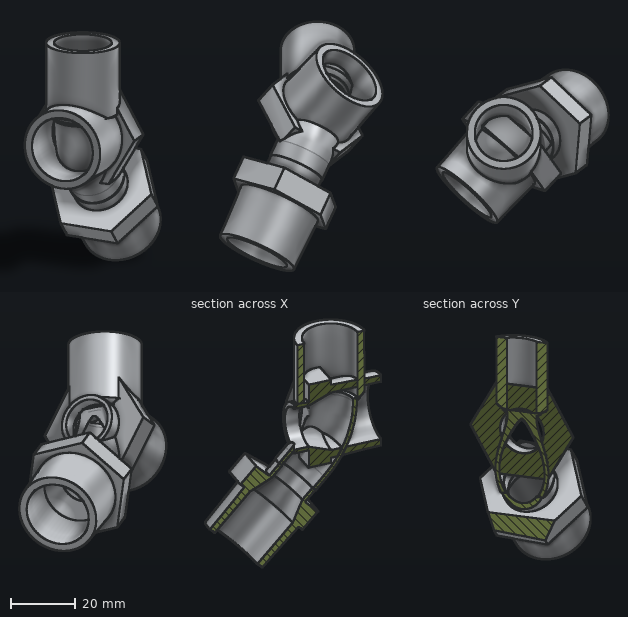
import cadquery as cq
import math

PIPE_OD = 23.0
PIPE_BORE = 18.0
PIPE_TOP = 30.05
PIPE_BOTTOM = 6.5
PIPE_CHAMFER_HEIGHT = 1.5

ELBOW_OD = 18.0
ELBOW_BORE = 15.0
COLLAR_OD = 20.0
COLLAR_RIM = 0.2
BEND_START_Z = 5.3
BEND_RADIUS = 27.0
BEND_ANGLE = math.radians(45)
ARM_LENGTH = 5.0

STUB_OD = 17.5
STUB_BORE = 14.5
STUB_LENGTH = 4.9
HEX_ACROSS_CORNERS = 34.6
HEX_THICKNESS = 7.65
THREAD_LENGTH = 17.1
THREAD_MOUTH_OD = 25.4
THREAD_ROOT_OD = 26.4
MOUTH_BORE = 20.5
CONNECTOR_LENGTH = STUB_LENGTH + HEX_THICKNESS + THREAD_LENGTH

SIDE_STUB_END_Y = 12.45
ARM_CONNECTOR_ROLL = math.radians(-2.8)

BEND_END_Y = BEND_RADIUS * (1 - math.cos(BEND_ANGLE))
BEND_END_Z = BEND_START_Z - BEND_RADIUS * math.sin(BEND_ANGLE)
ARM_END_Y = BEND_END_Y + ARM_LENGTH * math.sin(BEND_ANGLE)
ARM_END_Z = BEND_END_Z - ARM_LENGTH * math.cos(BEND_ANGLE)


def make_pipe():
    """Tube with a chamfered outer edge at its lower end."""
    half_section = [
        (PIPE_BORE / 2, PIPE_BOTTOM),
        (COLLAR_OD / 2, PIPE_BOTTOM),
        (PIPE_OD / 2, PIPE_BOTTOM + PIPE_CHAMFER_HEIGHT),
        (PIPE_OD / 2, PIPE_TOP),
        (PIPE_BORE / 2, PIPE_TOP),
    ]
    return cq.Workplane("XZ").polyline(half_section).close().revolve(360, (0, 0), (0, 1))


def make_elbow():
    """Bent tube with a conical collar that meets the pipe."""
    half_angle = BEND_ANGLE / 2
    bend_middle = (
        BEND_RADIUS * (1 - math.cos(half_angle)),
        BEND_START_Z - BEND_RADIUS * math.sin(half_angle),
    )
    path = (
        cq.Workplane("YZ")
        .moveTo(0, BEND_START_Z)
        .threePointArc(bend_middle, (BEND_END_Y, BEND_END_Z))
        .lineTo(ARM_END_Y, ARM_END_Z)
    )
    tube = (
        cq.Workplane("XY", origin=(0, 0, BEND_START_Z))
        .circle(ELBOW_OD / 2)
        .circle(ELBOW_BORE / 2)
        .sweep(path)
    )
    collar_section = [
        (ELBOW_BORE / 2, BEND_START_Z),
        (ELBOW_OD / 2, BEND_START_Z),
        (COLLAR_OD / 2, PIPE_BOTTOM - COLLAR_RIM),
        (COLLAR_OD / 2, PIPE_BOTTOM),
        (ELBOW_BORE / 2, PIPE_BOTTOM),
    ]
    collar = cq.Workplane("XZ").polyline(collar_section).close().revolve(360, (0, 0), (0, 1))
    return tube.union(collar)


def make_stub_envelope(plane):
    """Outside of a connector's stub, with its bore filled."""
    return cq.Workplane(plane).circle(STUB_OD / 2).extrude(STUB_LENGTH)


def make_connector(plane):
    """Stub, hexagon and tapered thread body along the plane's normal."""
    hex_end = STUB_LENGTH + HEX_THICKNESS
    stub = make_stub_envelope(plane)
    hexagon = (
        cq.Workplane(plane)
        .workplane(offset=STUB_LENGTH)
        .polygon(6, HEX_ACROSS_CORNERS)
        .extrude(HEX_THICKNESS)
    )
    thread_body = (
        cq.Workplane(plane)
        .workplane(offset=hex_end)
        .circle(THREAD_ROOT_OD / 2)
        .workplane(offset=THREAD_LENGTH)
        .circle(THREAD_MOUTH_OD / 2)
        .loft(ruled=True)
    )
    bore_section = [
        (0, 0),
        (STUB_BORE / 2, 0),
        (STUB_BORE / 2, STUB_LENGTH),
        (MOUTH_BORE / 2, hex_end),
        (MOUTH_BORE / 2, CONNECTOR_LENGTH),
        (0, CONNECTOR_LENGTH),
    ]
    section_plane = cq.Plane(origin=plane.origin, xDir=plane.xDir, normal=-plane.yDir)
    bore = cq.Workplane(section_plane).polyline(bore_section).close().revolve(360, (0, 0), (0, 1))
    return stub.union(hexagon).union(thread_body).cut(bore)


side_plane = cq.Plane(origin=(0, SIDE_STUB_END_Y, 0), xDir=(1, 0, 0), normal=(0, -1, 0))
arm_plane = cq.Plane(
    origin=(0, ARM_END_Y, ARM_END_Z),
    xDir=(
        math.cos(ARM_CONNECTOR_ROLL),
        math.sin(ARM_CONNECTOR_ROLL) * math.cos(BEND_ANGLE),
        math.sin(ARM_CONNECTOR_ROLL) * math.sin(BEND_ANGLE),
    ),
    normal=(0, math.sin(BEND_ANGLE), -math.cos(BEND_ANGLE)),
)

side_stub = make_stub_envelope(side_plane)
pipe = make_pipe().cut(side_stub)
elbow = make_elbow().cut(side_stub)
side_connector, arm_connector = [make_connector(plane) for plane in (side_plane, arm_plane)]
side_connector = side_connector.cut(pipe).cut(elbow)

result = cq.Compound.makeCompound([
    pipe.val(),
    elbow.val(),
    side_connector.val(),
    arm_connector.val(),
])